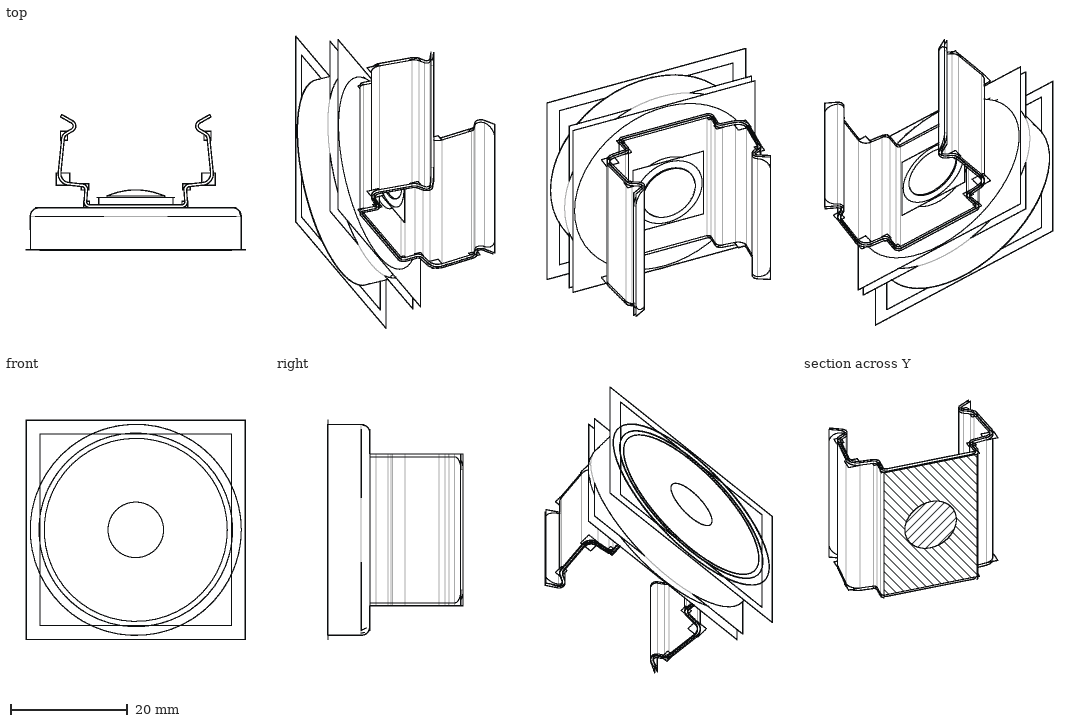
import cadquery as cq
import math


pot_radius = 18.05
pot_depth = 7.3
pot_wall = 1.5
pot_bore_radius = pot_radius - pot_wall
floor_y = pot_depth - pot_wall

foil = 0.03
front_plate_side = 37.51
inner_plate_side = 32.7
back_plate_side = 34.35

magnet_radius = 15.65
shank_radius = 4.75
head_radius = 6.37
head_height = 1.27
head_plate_side = 13.3
dome_radius = 4.96
dome_step = 0.25
dome_height = 1.08

strip_thickness = 0.5
strip_width = 25.0
skin_width = 26.0
tip_corner_radius = 2.2
web_y = pot_depth + strip_thickness / 2
clip_back_y = 23.25
lip_angle = math.radians(29.5)
tip_x = -12.78
tip_y = clip_back_y - strip_thickness / 2 * math.cos(lip_angle)
lip_length = 3.56

left_corners = [
    (tip_x, tip_y),
    (tip_x + lip_length * math.cos(lip_angle), tip_y - lip_length * math.sin(lip_angle)),
    (-12.38, 19.67),
    (-13.20, 11.56),
    (-8.42, 11.05),
    (-8.66, web_y),
]
left_radii = [0.80, 1.10, 1.75, 0.75, 0.75]

bend_cheeks = [
    ((-12.90, 20.40), (1.25, -1.60)),
    ((-13.60, 11.13), (2.35, 2.13)),
    ((-8.00, 11.42), (-1.33, -1.14)),
    ((-8.93, pot_depth), (1.04, 1.14)),
]


def disc(radius, y_start, y_end):
    """Cylinder on the Y axis between two Y positions."""
    return cq.Workplane("XZ", origin=(0, y_start, 0)).circle(radius).extrude(y_start - y_end)


def square(side, y_start, y_end):
    """Square plate centred on the Y axis between two Y positions."""
    return cq.Workplane("XZ", origin=(0, y_start, 0)).rect(side, side).extrude(y_start - y_end)


def direction(start, end):
    length = math.dist(start, end)
    return ((end[0] - start[0]) / length, (end[1] - start[1]) / length)


def moved(point, vector, distance):
    return (point[0] + vector[0] * distance, point[1] + vector[1] * distance)


def left_of(vector):
    return (-vector[1], vector[0])


def bend(before, corner, after, radius):
    """Start, end, centre and turn sign (+1 is left) of the arc rounding a corner."""
    incoming = direction(before, corner)
    outgoing = direction(corner, after)
    cross = incoming[0] * outgoing[1] - incoming[1] * outgoing[0]
    dot = incoming[0] * outgoing[0] + incoming[1] * outgoing[1]
    setback = radius * math.tan(math.atan2(abs(cross), dot) / 2)
    sign = math.copysign(1, cross)
    start = moved(corner, incoming, -setback)
    end = moved(corner, outgoing, setback)
    centre = moved(start, left_of(incoming), sign * radius)
    return start, end, centre, sign


corners = left_corners + [(-x, y) for x, y in reversed(left_corners)]
radii = left_radii + left_radii[::-1]
bends = [bend(*corners[i:i + 3], radius) for i, radius in enumerate(radii)]
first_normal = left_of(direction(corners[0], corners[1]))
last_normal = left_of(direction(corners[-2], corners[-1]))


def strip_side(offset):
    """Corner points of one strip face, as (bend start, arc middle, bend end) triples."""
    triples = []
    for (start, end, centre, sign), radius, corner in zip(bends, radii, corners[1:-1]):
        face_radius = radius - sign * offset
        triples.append((
            moved(centre, direction(centre, start), face_radius),
            moved(centre, direction(centre, corner), face_radius),
            moved(centre, direction(centre, end), face_radius),
        ))
    return triples


def make_strip(thickness, width):
    """Bent strip about the shared centre line, centred on Z = 0."""
    half_thickness = thickness / 2
    outline = cq.Workplane("XY", origin=(0, 0, -width / 2))
    outline = outline.moveTo(*moved(corners[0], first_normal, half_thickness))
    for start, middle, end in strip_side(half_thickness):
        outline = outline.lineTo(*start).threePointArc(middle, end)
    outline = outline.lineTo(*moved(corners[-1], last_normal, half_thickness))
    outline = outline.lineTo(*moved(corners[-1], last_normal, -half_thickness))
    for start, middle, end in reversed(strip_side(-half_thickness)):
        outline = outline.lineTo(*end).threePointArc(middle, start)
    outline = outline.lineTo(*moved(corners[0], first_normal, -half_thickness))
    return outline.close().extrude(width)


def round_tips(strip):
    reach = strip_thickness / 2
    for x, y in (corners[0], corners[-1]):
        for z in (-strip_width / 2, strip_width / 2):
            low = (x - reach, y - reach, z - reach)
            high = (x + reach, y + reach, z + reach)
            strip = strip.edges(cq.selectors.BoxSelector(low, high)).fillet(tip_corner_radius)
    return strip


def bend_cheek(corner, size, mirror, end):
    """Thin plate flush with one end of a bend; mirror and end are +1 or -1."""
    centre_x = mirror * (corner[0] + size[0] / 2)
    centre_y = corner[1] + size[1] / 2
    centre_z = end * (strip_width - foil) / 2
    return cq.Workplane("XY", origin=(centre_x, centre_y, centre_z)).box(
        abs(size[0]), abs(size[1]), foil)


def make_clip():
    core = round_tips(make_strip(strip_thickness, strip_width))
    between_skins = make_strip(strip_thickness - 2 * foil, skin_width)
    clip = make_strip(strip_thickness, skin_width).cut(between_skins).union(core)
    for corner, size in bend_cheeks:
        for mirror in (-1, 1):
            for end in (-1, 1):
                clip = clip.union(bend_cheek(corner, size, mirror, end))
    return clip.cut(disc(shank_radius, pot_depth, pot_depth + strip_thickness))


def make_pot():
    rim_y = foil
    inner_plate_y = 2 * foil
    outer_plate_y = 3 * foil
    plate_back_y = 4 * foil
    pot = disc(pot_radius, rim_y, pot_depth).faces(">Y").edges().fillet(pot_wall)
    raised_rim = disc(pot_radius, 0, rim_y).intersect(square(inner_plate_side, 0, rim_y))
    pot = pot.union(raised_rim).cut(disc(pot_bore_radius, 0, floor_y))
    pot = pot.union(square(front_plate_side, outer_plate_y, plate_back_y))
    pot = pot.union(square(inner_plate_side, inner_plate_y, plate_back_y))
    pot = pot.cut(disc(magnet_radius, 0, plate_back_y))
    for plate_y in (floor_y, pot_depth - foil):
        pot = pot.union(square(back_plate_side, plate_y, plate_y + foil))
    return pot.cut(disc(shank_radius, 0, pot_depth))


def make_magnet():
    return disc(magnet_radius, foil, floor_y).cut(disc(shank_radius, foil, floor_y))


def make_rivet():
    head_y = pot_depth + strip_thickness
    top_y = head_y + head_height
    sphere_radius = (dome_radius ** 2 + dome_height ** 2) / (2 * dome_height)
    dome_base_y = top_y + dome_step
    dome_top_y = dome_base_y + dome_height
    ball = cq.Workplane("XY", origin=(0, dome_top_y - sphere_radius, 0)).sphere(sphere_radius)
    dome = ball.intersect(disc(dome_radius, dome_base_y, dome_top_y))
    dome = dome.union(disc(dome_radius, top_y, dome_base_y))
    rivet = disc(shank_radius, 0, head_y).union(disc(head_radius, head_y, top_y))
    return rivet.union(square(head_plate_side, top_y - foil, top_y)).union(dome)


pot = make_pot()
magnet = make_magnet()
rivet = make_rivet()
clip = make_clip()

result = cq.Compound.makeCompound([pot.val(), magnet.val(), rivet.val(), clip.val()])